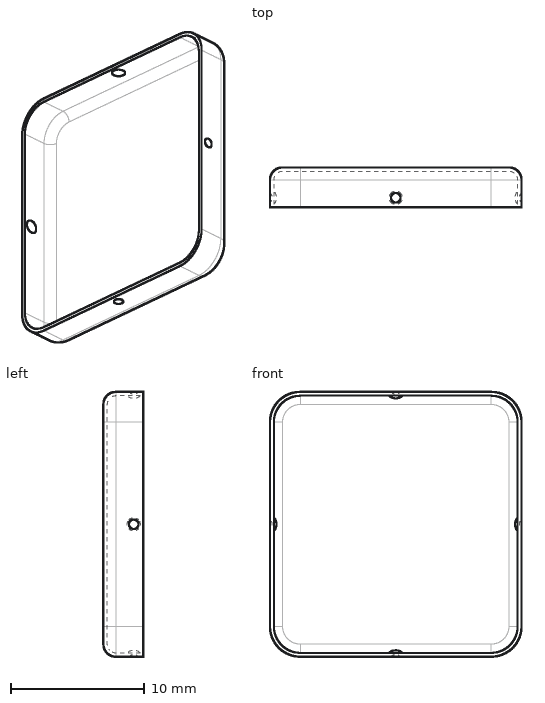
import cadquery as cq

width = 18.9
depth = 3.0
height = 19.9
wall = 0.3
corner_radius = 2.29
back_edge_radius = 0.95

dimple_from_rim = 0.72
dimple_radius = 0.35
dimple_depth = 0.18
bump_radius = 0.5
bump_height = 0.2


def rounded_tray(inset):
    """Solid with rounded corners and back edges, inset from the outer skin."""
    return (
        cq.Workplane("XZ")
        .rect(width - 2 * inset, height - 2 * inset)
        .extrude(-(depth - inset))
        .edges("|Y")
        .fillet(corner_radius - inset)
        .faces(">Y")
        .edges()
        .fillet(back_edge_radius - inset)
    )


def spherical_cap(cap_radius, cap_height, face_distance, angle):
    """Ball whose cap dips inward from a plane face_distance from the Y axis."""
    ball_radius = (cap_radius**2 + cap_height**2) / (2 * cap_height)
    center_distance = face_distance - cap_height + ball_radius
    ball = cq.Workplane("XY").sphere(ball_radius)
    keep = cq.Workplane("XY").box(2 * ball_radius, 2 * ball_radius, cap_height)
    keep = keep.translate((0, 0, cap_height / 2 - ball_radius))
    cap = ball.intersect(keep).translate((0, dimple_from_rim, center_distance))
    return cap.rotate((0, 0, 0), (0, 1, 0), angle)


result = rounded_tray(0).cut(rounded_tray(wall))

for angle, half_size in ((0, height / 2), (90, width / 2), (180, height / 2), (270, width / 2)):
    bump = spherical_cap(bump_radius, bump_height, half_size - wall, angle)
    dimple = spherical_cap(dimple_radius, dimple_depth, half_size, angle)
    result = result.union(bump).cut(dimple)